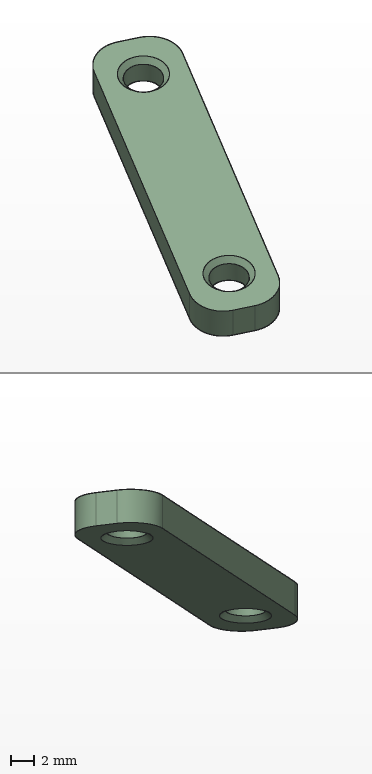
import cadquery as cq

length = 35.0
width = 8.0
thickness = 3.0
corner_radius = 3.0

hole_spacing = 26.0
hole_diameter = 3.5
countersink_diameter = 4.5
countersink_depth = (countersink_diameter - hole_diameter) / 2

plate = (
    cq.Workplane("XY")
    .box(length, width, thickness)
    .edges("|Z")
    .fillet(corner_radius)
)

drilled_plate = (
    plate.faces(">Z")
    .workplane()
    .rarray(hole_spacing, 0.35, 2, 1)
    .hole(hole_diameter)
)

result = drilled_plate.faces("|Z").edges("%CIRCLE").edges(
    cq.selectors.RadiusNthSelector(0)
).chamfer(countersink_depth)